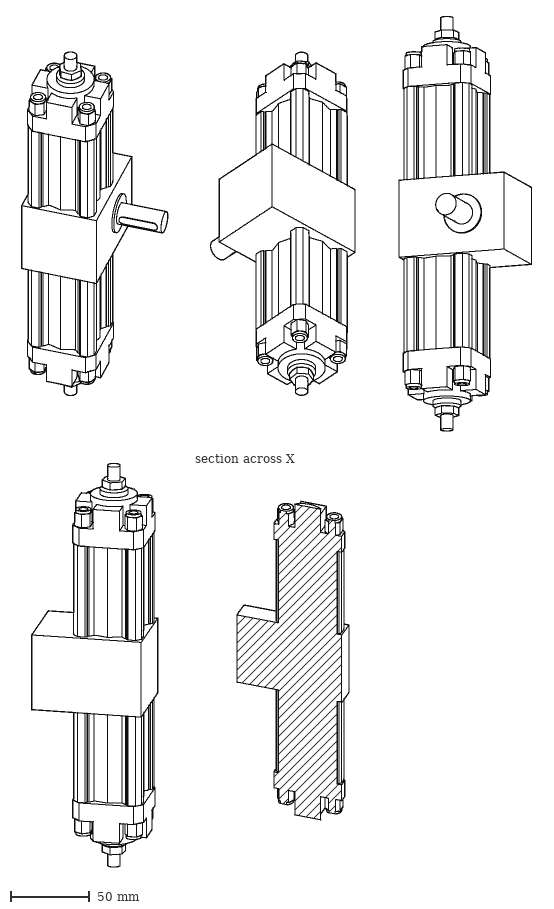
import cadquery as cq


TOTAL_LENGTH = 267.0

CAP_SIDE = 46.0
CAP_CHAMFER = 5.3
CAP_RIB_WIDTH = 17.0

HOUSING_SIDE = 50.0
HOUSING_DEPTH = 71.0
CAP_SETBACK = 0.13
HOUSING_FRONT_Y = -(CAP_SIDE / 2 + CAP_SETBACK)

SHAFT_D = 14.0
SHAFT_Y = 20.3
SHAFT_LENGTH = 31.0
FLANGE_D = 25.0
FLANGE_THICKNESS = 1.3
KEY_LENGTH = 25.5
KEY_WIDTH = 5.5
KEY_END_GAP = 2.5

ROD_TOP = TOTAL_LENGTH / 2
NUT_TOP = 124.2
NUT_BOTTOM = 119.3
COLLAR_TOP = 114.8
CAP_TOP = 110.8
POCKET_FLOOR = 97.7
CAP_BOTTOM = 85.7

ROD_D = 8.0
NUT_ACROSS_CORNERS = 15.2
NUT_ANGLE = 54
GLAND_D = 18.0
GLAND_TOP_D = 14.0
GLAND_CHAMFER_HEIGHT = 1.3
COLLAR_D = 30.0

TIE_OFFSET = 16.3
TIE_NUT_ACROSS_CORNERS = 11.5
TIE_NUT_TOP = 108.5
TIE_DISC_HEIGHT = 2.0
TIE_DISC_D = 9.5
TIE_HOLE_D = 5.5
TIE_HOLE_DEPTH = 5.3
TIE_NUTS = [(-1, -1, 30), (1, -1, 0), (-1, 1, 0), (1, 1, 30)]

BARREL_SIDE = 44.0
BARREL_HALF = BARREL_SIDE / 2
BARREL_CHAMFER = 3.2
LAND_INNER = 14.0
NOTCH_OUTER = 12.8
NOTCH_INNER = 11.7
WALL_FOOT = 9.0
RIDGE_FOOT = 7.7
RIDGE_RISE = 2.5


def disc(diameter, bottom, top):
    return cq.Workplane("XY").workplane(offset=bottom).circle(diameter / 2).extrude(top - bottom)


def hexagon(across_corners, turn, bottom, top):
    prism = cq.Workplane("XY").workplane(offset=bottom).polygon(6, across_corners).extrude(top - bottom)
    return prism.rotate((0, 0, 0), (0, 0, 1), turn)


def housing():
    middle_y = HOUSING_FRONT_Y + HOUSING_DEPTH / 2
    return cq.Workplane("XY").box(HOUSING_SIDE, HOUSING_DEPTH, HOUSING_SIDE).translate((0, middle_y, 0))


def output_shaft():
    face_x = HOUSING_SIDE / 2
    end_x = face_x + SHAFT_LENGTH
    base = cq.Workplane("YZ", origin=(face_x, SHAFT_Y, 0))
    flange = base.circle(FLANGE_D / 2).extrude(FLANGE_THICKNESS)
    shaft = base.circle(SHAFT_D / 2).extrude(SHAFT_LENGTH)
    key_x = end_x - KEY_END_GAP - KEY_LENGTH / 2
    key = (
        cq.Workplane("XZ", origin=(key_x, SHAFT_Y, 0))
        .slot2D(KEY_LENGTH, KEY_WIDTH)
        .extrude(SHAFT_D / 2)
    )
    return flange.union(shaft).union(key)


def barrel():
    def wall_height(across):
        return BARREL_HALF - (LAND_INNER - across)

    half_side = [
        (BARREL_HALF - BARREL_CHAMFER, BARREL_HALF),
        (LAND_INNER, BARREL_HALF),
        (NOTCH_OUTER, wall_height(NOTCH_OUTER)),
        (NOTCH_OUTER, wall_height(NOTCH_INNER)),
        (NOTCH_INNER, wall_height(NOTCH_INNER)),
        (WALL_FOOT, wall_height(WALL_FOOT)),
        (RIDGE_FOOT, wall_height(WALL_FOOT)),
    ]
    ridge = (0, wall_height(WALL_FOOT) + RIDGE_RISE)
    side = half_side + [ridge] + [(-across, out) for across, out in reversed(half_side)]
    outline = []
    for _ in range(4):
        outline += side
        side = [(-out, across) for across, out in side]
    return cq.Workplane("XY").polyline(outline).close().extrude(CAP_BOTTOM)


def end_cap():
    cap = cq.Workplane("XY").workplane(offset=CAP_BOTTOM).rect(CAP_SIDE, CAP_SIDE)
    cap = cap.extrude(CAP_TOP - CAP_BOTTOM).edges("|Z").chamfer(CAP_CHAMFER)
    pocket_side = (CAP_SIDE - CAP_RIB_WIDTH) / 2
    pocket_centre = (CAP_RIB_WIDTH + pocket_side) / 2
    pockets = (
        cq.Workplane("XY")
        .workplane(offset=POCKET_FLOOR)
        .rarray(2 * pocket_centre, 2 * pocket_centre, 2, 2)
        .rect(pocket_side, pocket_side)
        .extrude(CAP_TOP - POCKET_FLOOR)
    )
    return cap.cut(pockets).union(disc(COLLAR_D, CAP_BOTTOM, COLLAR_TOP))


def tie_nut(turn):
    shoulder = TIE_NUT_TOP - TIE_DISC_HEIGHT
    nut = hexagon(TIE_NUT_ACROSS_CORNERS, turn, POCKET_FLOOR, shoulder)
    nut = nut.union(disc(TIE_DISC_D, shoulder, TIE_NUT_TOP))
    return nut.cut(disc(TIE_HOLE_D, TIE_NUT_TOP - TIE_HOLE_DEPTH, TIE_NUT_TOP))


def rod_end():
    gland = disc(GLAND_D, COLLAR_TOP, NUT_BOTTOM)
    chamfer_width = (GLAND_D - GLAND_TOP_D) / 2
    gland = gland.faces(">Z").chamfer(GLAND_CHAMFER_HEIGHT, chamfer_width)
    nut = hexagon(NUT_ACROSS_CORNERS, NUT_ANGLE, NUT_BOTTOM, NUT_TOP)
    return gland.union(nut).union(disc(ROD_D, NUT_TOP, ROD_TOP))


def cylinder():
    body = barrel().union(end_cap()).union(rod_end())
    for side_x, side_y, turn in TIE_NUTS:
        body = body.union(tie_nut(turn).translate((side_x * TIE_OFFSET, side_y * TIE_OFFSET, 0)))
    return body


upper = cylinder()
lower = upper.mirror("XY")
result = housing().union(output_shaft()).union(upper).union(lower)